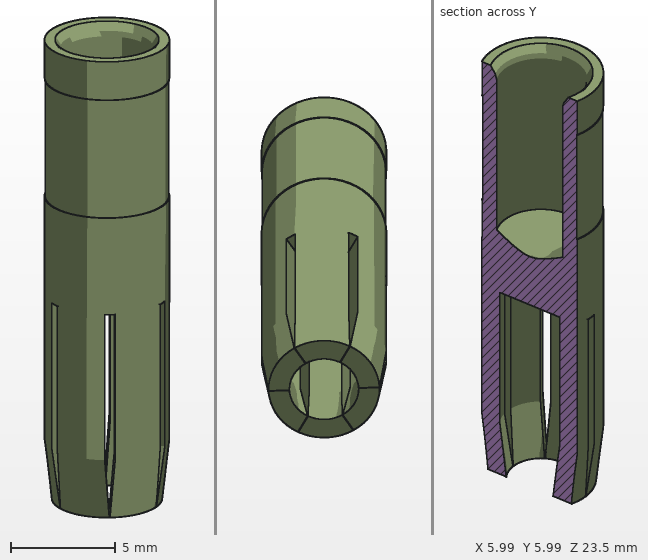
import cadquery as cq
import math

length = 23.5
outer_radius = 2.996
neck_radius = 2.95
collar_height = 1.97
neck_bottom = 15.49

taper_height = 3.08
tip_radius = 2.65

entry_radius = 2.5
entry_depth = 0.4
throat_radius = 2.23
throat_depth = 0.25
bore_radius = 2.16
bore_bottom = 14.1
bore_point_angle = 118.0

tip_bore_radius = 2.0

slot_count = 6
slot_width = 0.5
slot_height = 10.53
slot_tip_width = 0.02


def make_body():
    """Turned outside: tapered tip, shank, slightly thinner neck and collar."""
    collar_bottom = length - collar_height
    return (
        cq.Workplane("XZ")
        .moveTo(0, 0)
        .lineTo(tip_radius, 0)
        .lineTo(outer_radius, taper_height)
        .lineTo(outer_radius, neck_bottom)
        .lineTo(neck_radius, neck_bottom)
        .lineTo(neck_radius, collar_bottom)
        .lineTo(outer_radius, collar_bottom)
        .lineTo(outer_radius, length)
        .lineTo(0, length)
        .close()
        .revolve(360, (0, 0, 0), (0, 1, 0))
    )


def make_upper_bore():
    """Stepped blind hole from the top, ending in a conical point."""
    point_depth = bore_radius / math.tan(math.radians(bore_point_angle / 2))
    entry_bottom = length - entry_depth
    throat_bottom = entry_bottom - throat_depth
    return (
        cq.Workplane("XZ")
        .moveTo(0, bore_bottom - point_depth)
        .lineTo(bore_radius, bore_bottom)
        .lineTo(bore_radius, throat_bottom)
        .lineTo(throat_radius, entry_bottom)
        .lineTo(entry_radius, length)
        .lineTo(0, length)
        .close()
        .revolve(360, (0, 0, 0), (0, 1, 0))
    )


def make_tip_bore():
    """Hole between the slots that narrows with the taper, keeping the wall thickness."""
    wall = outer_radius - tip_bore_radius
    return (
        cq.Workplane("XZ")
        .moveTo(0, 0)
        .lineTo(tip_radius - wall, 0)
        .lineTo(tip_bore_radius, taper_height)
        .lineTo(tip_bore_radius, slot_height)
        .lineTo(0, slot_height)
        .close()
        .revolve(360, (0, 0, 0), (0, 1, 0))
    )


def make_slot():
    """One radial slot toward +X that narrows to a thin slit along the taper."""
    return (
        cq.Workplane("YZ")
        .moveTo(-slot_tip_width / 2, 0)
        .lineTo(slot_tip_width / 2, 0)
        .lineTo(slot_width / 2, taper_height)
        .lineTo(slot_width / 2, slot_height)
        .lineTo(-slot_width / 2, slot_height)
        .lineTo(-slot_width / 2, taper_height)
        .close()
        .extrude(outer_radius)
    )


result = make_body().cut(make_upper_bore()).cut(make_tip_bore())
for index in range(slot_count):
    slot_angle = index * 360 / slot_count
    result = result.cut(make_slot().rotate((0, 0, 0), (0, 0, 1), slot_angle))